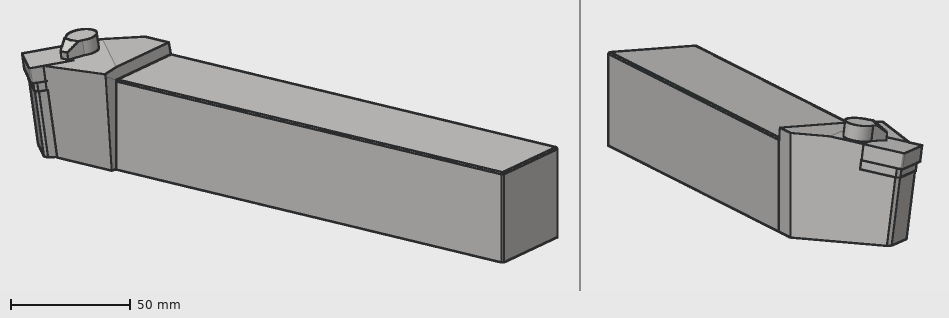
import cadquery as cq
import math

overall_length = 250.0
shank_width = 40.0
shank_start = 50.0
shank_front = 10.0
shank_back = shank_front + shank_width
shank_chamfer = 0.8

head_height = 44.8
head_end = 50.2
front_foot = 7.8
front_lean = 0.09
end_taper = 1.0

tilt = math.radians(7.5)
edge_center = (6.5, 6.5, 40.2)
insert_side = 19.0
insert_thickness = 7.0
insert_corner = 0.5

shim_thickness = 4.0
shim_setback = 1.0
shim_half_width = 9.5
column_inset = 0.2
column_chamfer = 1.5
column_length = 40.0

relief_half_width = 10.5
relief_depth = 6.5

head_left_offset = math.sqrt(2) * (shim_half_width - column_inset)

clamp_radius = 6.5
clamp_along = -0.8
clamp_depth = 25.0
clamp_height = 6.8
clamp_root = 1.2
nose_reach = 11.5
nose_tip_half_width = 2.0
nose_tip_height = 3.2
nose_slope_start = 6.2
nose_angle = 37.0

seat = cq.Plane(
    origin=edge_center,
    xDir=(1, -1, 0),
    normal=(-math.sin(tilt), -math.sin(tilt), math.sqrt(2) * math.cos(tilt)),
)
big = 150.0


def make_shank():
    bar = cq.Workplane("XY").box(overall_length - shank_start, shank_width, shank_width, centered=False)
    bar = bar.translate((shank_start, shank_front, 0))
    return bar.edges("|Z or >Z").chamfer(shank_chamfer)


def make_head():
    inner_sum = 28.8
    inner_low = (inner_sum - head_left_offset) / 2
    inner_high = (inner_sum + head_left_offset) / 2
    head = (
        cq.Workplane("XY")
        .polyline([
            (inner_low, inner_high),
            (inner_high, inner_low),
            (head_left_offset, 0),
            (head_end - end_taper, 0),
            (head_end, shank_front),
            (head_end, shank_back),
            (shank_back - head_left_offset, shank_back),
        ])
        .close()
        .extrude(head_height)
    )
    front_waste = (
        cq.Workplane("YZ")
        .polyline([
            (-big, 0),
            (front_foot, 0),
            (front_foot - front_lean * head_height, head_height),
            (-big, head_height),
        ])
        .close()
        .extrude(big)
    )
    end_waste = (
        cq.Workplane("XZ")
        .polyline([
            (head_end, shank_width),
            (head_end, head_height),
            (head_end - end_taper, head_height),
        ])
        .close()
        .extrude(-big)
    )
    sloped_top_waste = cq.Workplane(seat).rect(big, big).extrude(big)
    relief = (
        cq.Workplane(seat)
        .workplane(offset=-insert_thickness - shim_thickness)
        .center(0, relief_depth - big / 2)
        .rect(2 * relief_half_width, big)
        .extrude(-column_length)
    )
    return head.cut(front_waste).cut(end_waste).cut(sloped_top_waste).cut(relief)


def make_pillar(top, height, inset):
    """Square pillar along the seat axis with its two front corners chamfered."""
    half = shim_half_width - inset
    front = shim_setback + inset
    return (
        cq.Workplane(seat)
        .workplane(offset=-top)
        .polyline([
            (-half, insert_side),
            (-half, front + column_chamfer),
            (-half + column_chamfer, front),
            (half - column_chamfer, front),
            (half, front + column_chamfer),
            (half, insert_side),
        ])
        .close()
        .extrude(-height)
    )


def make_support():
    shim = make_pillar(insert_thickness, shim_thickness, 0)
    column = make_pillar(insert_thickness + shim_thickness, column_length, column_inset)
    below_base = cq.Workplane("XY").rect(big, big).extrude(-big)
    return shim.union(column.cut(below_base))


def make_insert():
    return (
        cq.Workplane(seat)
        .center(0, insert_side / 2)
        .rect(insert_side, insert_side)
        .extrude(-insert_thickness)
        .edges(cq.selectors.ParallelDirSelector(seat.zDir))
        .fillet(insert_corner)
    )


def make_clamp():
    clamp_plane = cq.Plane(
        origin=seat.toWorldCoords((clamp_along, clamp_depth, 0)),
        xDir=seat.xDir,
        normal=seat.zDir,
    ).rotated((0, 0, nose_angle))
    button = cq.Workplane(clamp_plane).workplane(offset=-clamp_root)
    button = button.circle(clamp_radius).extrude(clamp_height + clamp_root)
    nose = (
        cq.Workplane(clamp_plane)
        .polyline([
            (-clamp_radius, 0),
            (-nose_tip_half_width, -nose_reach),
            (nose_tip_half_width, -nose_reach),
            (clamp_radius, 0),
        ])
        .close()
        .extrude(clamp_height)
    )
    slope_plane = cq.Plane(origin=clamp_plane.origin, xDir=clamp_plane.yDir, normal=clamp_plane.xDir)
    slope_waste = (
        cq.Workplane(slope_plane)
        .polyline([
            (-nose_slope_start, clamp_height),
            (-nose_reach, nose_tip_height),
            (-nose_reach, clamp_height),
        ])
        .close()
        .extrude(clamp_radius, both=True)
    )
    return button.union(nose.cut(slope_waste))


insert = make_insert()
holder = make_shank().union(make_head()).union(make_support()).union(make_clamp()).cut(insert)

result = cq.Compound.makeCompound([holder.solids().val(), insert.solids().val()])